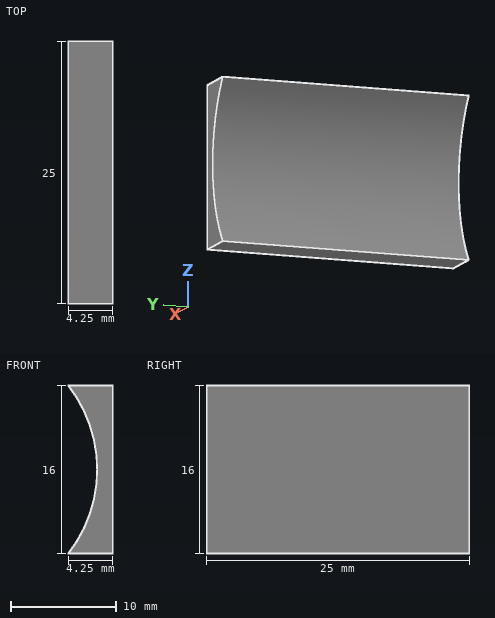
import cadquery as cq

depth = 4.25
length = 25.0
height = 16.0

thinnest_wall = 1.5

back_x = depth / 2
edge_x = -depth / 2
hollow_x = back_x - thinnest_wall
half_height = height / 2

profile = (
    cq.Workplane("XZ")
    .moveTo(edge_x, -half_height)
    .lineTo(back_x, -half_height)
    .lineTo(back_x, half_height)
    .lineTo(edge_x, half_height)
    .threePointArc((hollow_x, 0), (edge_x, -half_height))
    .close()
)

result = profile.extrude(length / 2, both=True)